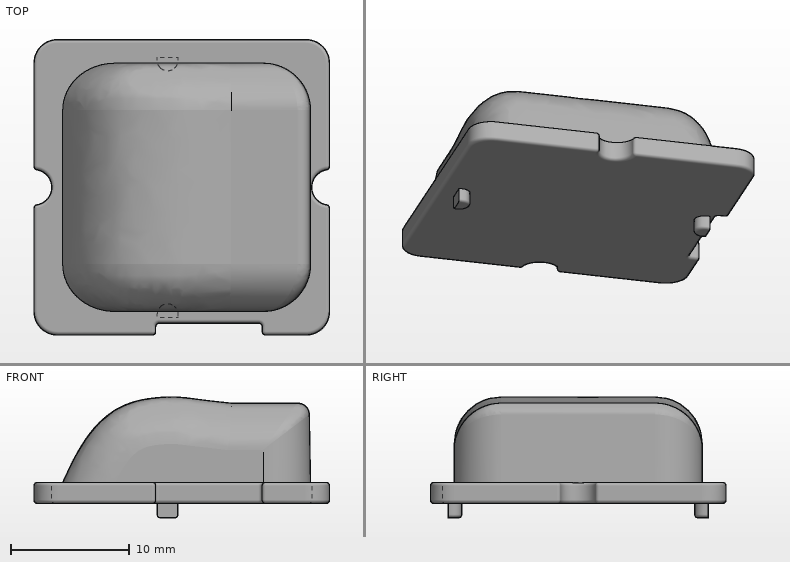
import cadquery as cq
import math

plate_side = 25
plate_thickness = 1.8
plate_corner_radius = 2
edge_round = 0.3

notch_radius = 1.5
slot_left = -2.2
slot_right = 6.8
slot_depth = 1

peg_width = 1.75
peg_straight = 0.28
peg_height = 1.2
peg_center_x = -1.2
peg_outer_y = 11
peg_round = 0.25

dome_width = 21
dome_round = 4
dome_sink = 0.75
hump_left = -10.08
hump_left_angle = 66.6
hump_shoulder = (-4, 6.82)
hump_peak = (-0.75, 7.22)
hump_dip_angle = 4.8
shelf_left = 0
shelf_start = 4.2
shelf_right = 10.9
shelf_height = 6.7
shelf_wall_draft = 1
shelf_end_round = 1

half_side = plate_side / 2
selection_margin = 0.25


def extrude_across(profile):
    """Extrude a dome profile symmetrically across the dome width and stand it on the plate."""
    return profile.extrude(dome_width).translate((0, dome_width / 2, plate_thickness))


def box_around(low, high):
    """Select what lies inside the box between two corners, widened by a small margin."""
    return cq.selectors.BoxSelector(
        [value - selection_margin for value in low],
        [value + selection_margin for value in high],
    )


def make_plate():
    plate = cq.Workplane("XY").rect(plate_side, plate_side).extrude(plate_thickness)
    plate = plate.edges("|Z").fillet(plate_corner_radius)

    notches = (
        cq.Workplane("XY")
        .pushPoints([(-half_side, 0), (half_side, 0)])
        .circle(notch_radius)
        .extrude(plate_thickness)
    )
    slot = (
        cq.Workplane("XY")
        .center((slot_left + slot_right) / 2, -half_side)
        .rect(slot_right - slot_left, 2 * slot_depth)
        .extrude(plate_thickness)
    )
    plate = plate.cut(notches).cut(slot)

    notch_corners = box_around((-half_side, -notch_radius, 0), (half_side, notch_radius, plate_thickness))
    slot_corners = box_around(
        (slot_left, -half_side, 0), (slot_right, slot_depth - half_side, plate_thickness)
    )
    plate = plate.edges("|Z").edges(notch_corners + slot_corners).fillet(edge_round)
    return plate.faces("<Z or >Z").edges().fillet(edge_round)


def make_hump():
    """Curved left part of the dome; its tail runs on, dipping under the shelf."""
    left_slope = math.radians(hump_left_angle)
    dip_slope = math.radians(hump_dip_angle)
    foot_x = hump_left - dome_sink / math.tan(left_slope)
    tail_x = shelf_right - dome_round
    tail_height = shelf_height - (tail_x - shelf_start) * math.tan(dip_slope)
    profile = (
        cq.Workplane("XZ")
        .moveTo(foot_x, -dome_sink)
        .spline(
            [hump_shoulder, hump_peak, (shelf_start, shelf_height)],
            tangents=[
                (math.cos(left_slope), math.sin(left_slope)),
                (math.cos(dip_slope), -math.sin(dip_slope)),
            ],
            includeCurrent=True,
        )
        .lineTo(tail_x, tail_height)
        .lineTo(tail_x, -dome_sink)
        .close()
    )
    hump = extrude_across(profile)
    return hump.faces("<Y or >Y").edges("not(<Z or >X)").fillet(dome_round)


def make_shelf():
    """Flat right part of the dome; its left end lies hidden inside the hump."""
    wall_lean = math.tan(math.radians(shelf_wall_draft))
    profile = (
        cq.Workplane("XZ")
        .moveTo(shelf_left, -dome_sink)
        .lineTo(shelf_right + dome_sink * wall_lean, -dome_sink)
        .lineTo(shelf_right - shelf_height * wall_lean, shelf_height)
        .lineTo(shelf_left, shelf_height)
        .close()
    )
    block = extrude_across(profile)

    rounded_top = block.faces(">Z").edges("|X").fillet(dome_round)
    rounded_wall = block.faces(">X").edges("not |Y").fillet(dome_round)
    shelf = rounded_top.intersect(rounded_wall)

    top_edge = shelf.faces(">Z").edges(">X")
    mitres = shelf.edges("%ELLIPSE").edges(">Z")
    return top_edge.add(mitres).fillet(shelf_end_round)


def make_peg():
    """Peg on the +Y side: flat outside, half round inside."""
    radius = peg_width / 2
    peg = (
        cq.Workplane("XY")
        .moveTo(-radius, 0)
        .lineTo(radius, 0)
        .lineTo(radius, -peg_straight)
        .threePointArc((0, -peg_straight - radius), (-radius, -peg_straight))
        .close()
        .extrude(-peg_height)
    )
    peg = peg.faces("<Z").edges("not >Y").fillet(peg_round)
    return peg.translate((peg_center_x, peg_outer_y, 0))


peg = make_peg()
result = make_plate().union(make_hump()).union(make_shelf())
result = result.union(peg).union(peg.mirror("XZ")).solids()